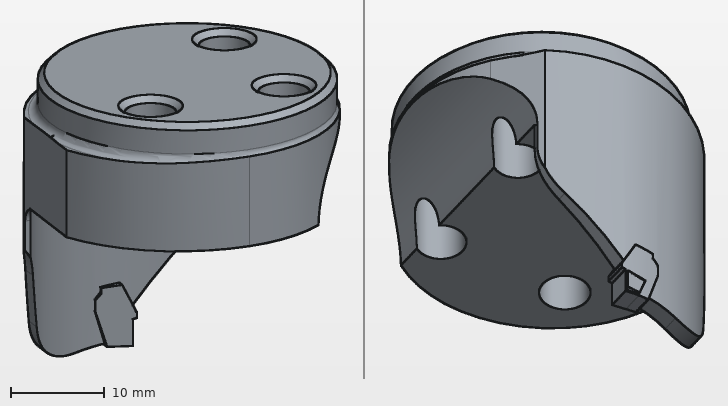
import cadquery as cq
import math

disc_radius = 16.0
disc_chamfer = 0.7
shoulder_z = -4.4
cove_radius = 1.0

flange_radius = 16.27
flange_bottom_z = -14.3
front_flat_y = -16.69
front_flat_left_x = -5.4
right_flank_radius = 18.5
lobe_left_x = -17.22
tangent_flat_angle = 128.6
tangent_flat_length = 6.15

arm_bottom_z = -35.4
arm_wall_x = -5.1
arm_inner_center_x = 4.35
arm_inner_center_y = 1.35
arm_inner_radius = 19.8
arm_root_fillet = 1.8

hole_offset = 7.8
hole_diameter = 5.5
hole_mouth_diameter = 6.9
hole_places = [(-hole_offset, hole_offset), (hole_offset, hole_offset), (hole_offset, -hole_offset)]

back_y = 9.4
back_cove_radius = 11.15
back_cove_end_z = -14.6
back_bend_start_z = -17.75
back_bend_radius = 10.0
back_slope_angle = 41.2

nose_start_z = -19.5
nose_taper_top_y = -15.05
nose_taper_top_z = -23.1
nose_taper_bottom_z = -29.6
nose_taper_angle = 9.5

insert_inner_x = -14.5
tooth_root_x = -16.9
tooth_edge_x = -17.53
tooth_face_slope = 0.16
tooth_rake = (0.13, -32.95)
tooth_tip = (0.13, -36.0)
tooth_heel_bottom = (-1.6, -35.8)
tooth_heel_top = (-2.5, -33.3)
insert_profile = [
    (-1.15, -28.85),
    (-3.55, -28.85),
    (-3.55, -29.45),
    (-4.3, -30.1),
    (-4.3, -31.4),
    (-2.9, -35.65),
    tooth_heel_bottom,
    tooth_tip,
    tooth_rake,
    (0.58, -32.86),
    (0.58, -32.25),
]
tooth_root_corners = [tooth_rake, tooth_tip, tooth_heel_bottom, tooth_heel_top]
tooth_face_corners = [(0.0, -33.3), (0.0, -35.6), (-1.6, -35.5), (-2.4, -33.35)]

reach = 40.0


def polar(radius, degrees):
    angle = math.radians(degrees)
    return (radius * math.cos(angle), radius * math.sin(angle))


def shifted(point, step):
    return (point[0] + step[0], point[1] + step[1])


def make_outline_prism(bottom_z):
    """Flange circle with a lobe on the left, a front flat and a wider right flank, up to Z = 0."""
    tangent_point = polar(flange_radius, tangent_flat_angle)
    lobe_start = shifted(tangent_point, polar(tangent_flat_length, tangent_flat_angle + 90))

    flank_center = (flange_radius - right_flank_radius, 0)
    flank_start_angle = math.degrees(math.asin(front_flat_y / right_flank_radius))
    flank_start = shifted(flank_center, polar(right_flank_radius, flank_start_angle))
    flank_middle = shifted(flank_center, polar(right_flank_radius, flank_start_angle / 2))
    return (
        cq.Workplane("XY")
        .workplane(offset=bottom_z)
        .moveTo(flange_radius, 0)
        .threePointArc(polar(flange_radius, tangent_flat_angle / 2), tangent_point)
        .lineTo(*lobe_start)
        .threePointArc((lobe_left_x, 0), (front_flat_left_x, front_flat_y))
        .lineTo(*flank_start)
        .threePointArc(flank_middle, (flange_radius, 0))
        .close()
        .extrude(-bottom_z)
    )


def make_turned_envelope():
    """Chamfered coupling disc that spreads through a concave cove to the shoulder."""
    cove_center = (disc_radius + cove_radius, shoulder_z + cove_radius)
    return (
        cq.Workplane("XZ")
        .moveTo(0, 0)
        .lineTo(disc_radius - disc_chamfer, 0)
        .lineTo(disc_radius, -disc_chamfer)
        .lineTo(disc_radius, cove_center[1])
        .threePointArc(shifted(cove_center, polar(cove_radius, 225)), (cove_center[0], shoulder_z))
        .lineTo(reach, shoulder_z)
        .lineTo(reach, -reach)
        .lineTo(0, -reach)
        .close()
        .revolve(360, (0, 0, 0), (0, 1, 0))
    )


def make_arm_clearance():
    """Space under the flange, leaving the arm as a curved wall with a filleted root."""
    wall_end_y = arm_inner_center_y - math.sqrt(
        arm_inner_radius**2 - (arm_wall_x - arm_inner_center_x) ** 2
    )
    arc_middle = (arm_inner_center_x - arm_inner_radius, arm_inner_center_y)
    arc_end = (arm_inner_center_x, arm_inner_center_y + arm_inner_radius)
    wall_side = cq.selectors.BoxSelector(
        (-reach, -reach, -reach), (arm_inner_center_x, arm_inner_center_y, reach)
    )
    return (
        cq.Workplane("XY")
        .workplane(offset=-reach)
        .moveTo(arm_wall_x, -reach)
        .lineTo(arm_wall_x, wall_end_y)
        .threePointArc(arc_middle, arc_end)
        .lineTo(reach, arc_end[1])
        .lineTo(reach, -reach)
        .close()
        .extrude(reach + flange_bottom_z)
        .faces(">Z")
        .edges(wall_side)
        .fillet(arm_root_fillet)
    )


def make_back_cut():
    """Concave scoop behind the flange, a short upright and a slope down to the insert."""
    cove_center = (back_y + back_cove_radius, back_cove_end_z)
    bend_center = (back_y - back_bend_radius, back_bend_start_z)
    bend_end = shifted(bend_center, polar(back_bend_radius, -back_slope_angle))
    slope_end = shifted(bend_end, polar(reach, -90 - back_slope_angle))
    return (
        cq.Workplane("YZ")
        .moveTo(cove_center[0], cove_center[1] + back_cove_radius)
        .threePointArc(
            shifted(cove_center, polar(back_cove_radius, 135)),
            (back_y, back_cove_end_z),
        )
        .lineTo(back_y, back_bend_start_z)
        .threePointArc(
            shifted(bend_center, polar(back_bend_radius, -back_slope_angle / 2)),
            bend_end,
        )
        .lineTo(*slope_end)
        .lineTo(cove_center[0], slope_end[1])
        .close()
        .extrude(reach, both=True)
    )


def make_nose_cut():
    """Material taken off the front of the arm, from the front flat round to the arm end."""
    taper_drop = nose_taper_top_z - nose_taper_bottom_z
    taper_slope = math.radians(nose_taper_angle)
    taper_bottom_y = nose_taper_top_y + taper_drop * math.tan(taper_slope)
    nose_radius = (nose_taper_bottom_z - arm_bottom_z) / (1 - math.sin(taper_slope))
    nose_end_y = taper_bottom_y + nose_radius * math.cos(taper_slope)
    return (
        cq.Workplane("YZ")
        .moveTo(-reach, arm_bottom_z)
        .lineTo(nose_end_y, arm_bottom_z)
        .radiusArc((taper_bottom_y, nose_taper_bottom_z), nose_radius)
        .lineTo(nose_taper_top_y, nose_taper_top_z)
        .tangentArcPoint((front_flat_y, nose_start_z), relative=False)
        .lineTo(-reach, nose_start_z)
        .close()
        .extrude(reach, both=True)
    )


def make_screw_holes():
    """Through holes, each with a 45 degree countersunk mouth."""
    mouth_depth = (hole_mouth_diameter - hole_diameter) / 2
    holes = cq.Workplane("XY").pushPoints(hole_places).circle(hole_diameter / 2).extrude(-reach)
    for x, y in hole_places:
        mouth = cq.Solid.makeCone(
            hole_mouth_diameter / 2, hole_diameter / 2, mouth_depth, cq.Vector(x, y, 0), cq.Vector(0, 0, -1)
        )
        holes = holes.union(cq.Workplane(mouth))
    return holes


def make_insert_block():
    """Insert profile carried from the inner side of the arm out past the lobe."""
    plane = cq.Workplane("YZ").workplane(offset=insert_inner_x)
    return plane.polyline(insert_profile).close().extrude(-reach)


def make_tooth():
    """Cutting tooth that narrows towards a face leaning back from edge to heel."""
    root = [cq.Vector(tooth_root_x, y, z) for y, z in tooth_root_corners]
    face = [cq.Vector(tooth_edge_x - tooth_face_slope * y, y, z) for y, z in tooth_face_corners]
    wires = [cq.Wire.makePolygon(corners, close=True) for corners in (root, face)]
    return cq.Workplane(cq.Solid.makeLoft(wires, True))


def make_insert():
    """Plate flush with the lobe, with the tooth standing out of it."""
    return make_insert_block().intersect(make_outline_prism(-reach)).union(make_tooth())


def make_head():
    head = make_outline_prism(arm_bottom_z).intersect(make_turned_envelope())
    for cut in (make_arm_clearance(), make_back_cut(), make_nose_cut(), make_screw_holes()):
        head = head.cut(cut)
    return head.cut(make_insert_block())


head = make_head()
insert = make_insert()

result = cq.Compound.makeCompound([head.val(), insert.val()])